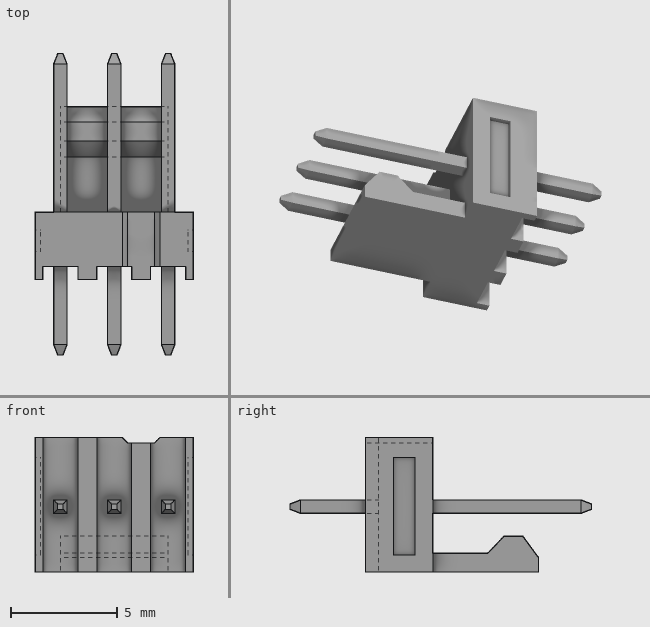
import cadquery as cq


width = 7.47
height = 6.35
length = 14.22

pin_count = 3
pitch = 2.54
pin_size = 0.64
pin_tip_size = 0.25
pin_tip_length = 0.5
pin_front_reach = 3.56
pin_height = 3.09

housing_depth = 3.18
pin_groove_width = 1.64
pin_groove_depth = 0.62

notch_x = pitch / 2
notch_floor_width = 1.27
notch_depth = 0.25
notch_top_width = notch_floor_width + 2 * notch_depth

pocket_front = 1.33
pocket_width = 1.0
pocket_base = 0.8
pocket_height = 4.6
pocket_depth = 0.25

ramp_width = (pin_count - 1) * pitch
ramp_reach = 4.98
arm_thickness = 0.9
ramp_nose_height = 0.69
ramp_crest_height = 1.7
ramp_lead_length = 0.74
ramp_crest_length = 0.89
ramp_catch_length = 0.76

pin_positions = [(i - (pin_count - 1) / 2) * pitch for i in range(pin_count)]


def make_box(x, y, z):
    """Box given by its (low, high) limits along each axis."""
    size = (x[1] - x[0], y[1] - y[0], z[1] - z[0])
    return cq.Workplane("XY").box(*size, centered=False).translate((x[0], y[0], z[0]))


def make_pin_groove(x):
    """Full-height groove in the front face, around one pin."""
    half = pin_groove_width / 2
    return make_box((x - half, x + half), (0, pin_groove_depth), (0, height))


def make_notch():
    """Trapezoidal channel running front to back through the top."""
    floor_z = height - notch_depth
    return (
        cq.Workplane("XZ")
        .moveTo(notch_x - notch_top_width / 2, height)
        .lineTo(notch_x - notch_floor_width / 2, floor_z)
        .lineTo(notch_x + notch_floor_width / 2, floor_z)
        .lineTo(notch_x + notch_top_width / 2, height)
        .close()
        .extrude(-housing_depth)
    )


def make_side_pocket():
    """Rectangular pocket in the -X side wall."""
    return make_box(
        (-width / 2, -width / 2 + pocket_depth),
        (pocket_front, pocket_front + pocket_width),
        (pocket_base, pocket_base + pocket_height),
    )


def make_housing():
    housing = make_box((-width / 2, width / 2), (0, housing_depth), (0, height))
    for x in pin_positions:
        housing = housing.cut(make_pin_groove(x))
    pocket = make_side_pocket()
    return housing.cut(make_notch()).cut(pocket).cut(pocket.mirror("YZ"))


def make_ramp():
    """Arm along the underside that ends in a raised catch."""
    end_y = housing_depth + ramp_reach
    crest_back_y = end_y - ramp_lead_length
    crest_front_y = crest_back_y - ramp_crest_length
    catch_foot_y = crest_front_y - ramp_catch_length
    return (
        cq.Workplane("YZ")
        .moveTo(housing_depth, 0)
        .lineTo(end_y, 0)
        .lineTo(end_y, ramp_nose_height)
        .lineTo(crest_back_y, ramp_crest_height)
        .lineTo(crest_front_y, ramp_crest_height)
        .lineTo(catch_foot_y, arm_thickness)
        .lineTo(housing_depth, arm_thickness)
        .close()
        .extrude(ramp_width / 2, both=True)
    )


def make_pin_tip(x, y, direction):
    """Tapered pin end starting at y and pointing along direction (+1 or -1) in Y."""
    return (
        cq.Workplane("XZ", origin=(x, y, pin_height))
        .rect(pin_size, pin_size)
        .workplane(offset=-direction * pin_tip_length)
        .rect(pin_tip_size, pin_tip_size)
        .loft()
    )


def make_pin(x):
    """Square pin through the housing, tapered at both ends."""
    half = pin_size / 2
    shank_front = -pin_front_reach + pin_tip_length
    shank_back = length - pin_front_reach - pin_tip_length
    shank = make_box(
        (x - half, x + half),
        (shank_front, shank_back),
        (pin_height - half, pin_height + half),
    )
    return shank.union(make_pin_tip(x, shank_front, -1)).union(make_pin_tip(x, shank_back, 1))


result = make_housing().union(make_ramp())
for pin_x in pin_positions:
    result = result.union(make_pin(pin_x))